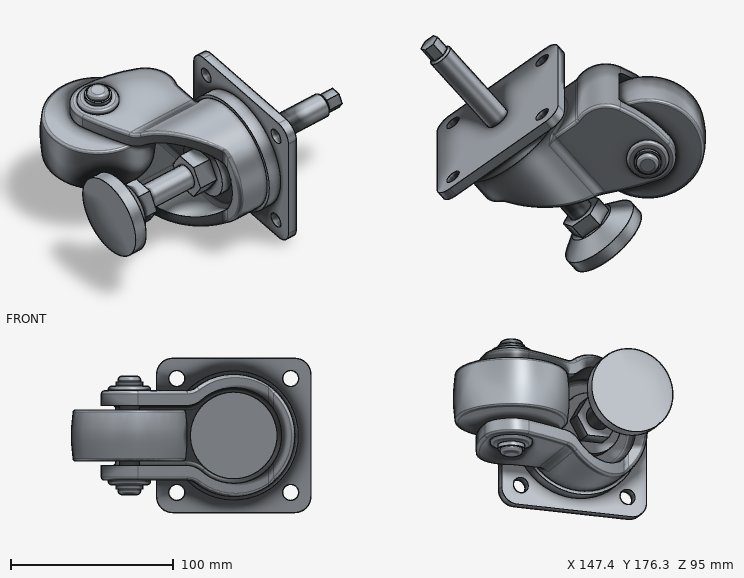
import cadquery as cq
import math


plate_size = 95.0
plate_thickness = 6.2
plate_corner_radius = 10.0
plate_hole_diameter = 9.7
plate_hole_spacing = 70.0

collar_radius = 39.7
collar_bottom = -15.0
bell_radius = 37.5
bell_inner_radius = 29.5
rim_level = -35.8
rim_blend_radius = 5.0

arm_outer_z = 27.5
arm_inner_z = 18.3
arm_blend_x = -29.3
fork_top = -20.0
fork_edge_fillet = 2.0
fork_root_fillet = 2.0
ceiling_level = -29.0
ceiling_fillet = 2.8

boss_radius = 19.4

axle_x = -64.2
axle_y = -67.7

hub_radius = 17.3
front_radius = 88.5
nose_radius = 20.3
nose_top = -18.2
nose_blend_radius = 5.1
belly_radius = 220.4
belly_start_angle = math.radians(18.3)

wheel_radius = 71.4 / 2
wheel_shoulder_radius = 34.4
wheel_half_width = 31.5 / 2
wheel_fillet = 1.8

axle_radius = 6.2
washer_radius = 13.0
washer_top = 30.3
washer_fillet = 2.1
ring_radius = 8.3
ring_top = 33.0
cap_radius = 7.0
cap_top = 36.5
cap_fillet = 2.6

stem_radius = 7.8
stem_shoulder = 57.8
stem_chamfer = 1.4
drive_top = 67.5
drive_across_corners = 13.0

nut_across_corners = 27.9
upper_nut_bottom = -48.5
lower_nut_top = -82.5
foot_cone_top = -92.5
foot_disc_top = -100.7
overall_length = 176.3
foot_bottom = drive_top - overall_length
foot_neck_radius = 15.2
foot_radius = 26.6

clearance = 105.8


def cross_section(level):
    """Workplane square to the swivel axis whose extrusions run toward -Y."""
    return cq.Workplane("XZ", origin=(0, level, 0))


def disc(radius, top, bottom):
    return cross_section(top).circle(radius).extrude(top - bottom)


def hexagon(across_corners, top, bottom):
    return cross_section(top).polygon(6, across_corners).extrude(top - bottom)


def make_plate():
    plate = cross_section(0).rect(plate_size, plate_size).extrude(plate_thickness)
    plate = plate.edges("|Y").fillet(plate_corner_radius)
    holes = (
        cross_section(0)
        .rect(plate_hole_spacing, plate_hole_spacing, forConstruction=True)
        .vertices()
        .circle(plate_hole_diameter / 2)
        .extrude(plate_thickness)
    )
    return plate.cut(holes)


def tail_blend(round_radius, half_width):
    """Radius of the blend circle tangent to the tail side at arm_blend_x and to the disc."""
    return (arm_blend_x**2 + half_width**2 - round_radius**2) / (2 * (round_radius - half_width))


def blend_touch_x(round_radius, half_width):
    """X where the tail blend meets the disc."""
    return arm_blend_x * round_radius / (round_radius + tail_blend(round_radius, half_width))


def keyhole(round_radius, half_width, top):
    """Prism toward -Y: a disc blended into a straight-sided tail toward -X."""
    blend_radius = tail_blend(round_radius, half_width)
    blend_z = half_width + blend_radius
    touch_x = blend_touch_x(round_radius, half_width)
    touch_z = math.sqrt(round_radius**2 - touch_x**2)
    disc_angle = math.atan2(-blend_z, -arm_blend_x)
    middle_angle = (disc_angle - math.pi / 2) / 2
    middle_x = arm_blend_x + blend_radius * math.cos(middle_angle)
    middle_z = blend_z + blend_radius * math.sin(middle_angle)
    return (
        cross_section(top)
        .moveTo(-clearance, half_width)
        .lineTo(arm_blend_x, half_width)
        .threePointArc((middle_x, middle_z), (touch_x, touch_z))
        .threePointArc((round_radius, 0), (touch_x, -touch_z))
        .threePointArc((middle_x, -middle_z), (arm_blend_x, -half_width))
        .lineTo(-clearance, -half_width)
        .close()
        .extrude(clearance)
    )


def on_circle(center, radius, angle):
    return (center[0] + radius * math.cos(angle), center[1] + radius * math.sin(angle))


def make_side_prism():
    """Side outline of the fork, extruded across its whole width."""
    hub = (axle_x, axle_y)

    front = (axle_x - hub_radius + front_radius, axle_y)
    nose_y = nose_top - nose_radius
    nose_x = front[0] - math.sqrt((front_radius - nose_radius) ** 2 - (nose_y - front[1]) ** 2)
    nose = (nose_x, nose_y)
    front_angle = math.atan2(nose_y - front[1], nose_x - front[0])
    nose_end_angle = math.asin((fork_top - nose_y) / nose_radius)
    nose_end = on_circle(nose, nose_radius, nose_end_angle)

    belly_angle = belly_start_angle - math.pi / 2
    belly = on_circle(hub, belly_radius - hub_radius, belly_angle + math.pi)
    belly_end_angle = math.asin((rim_level - belly[1]) / belly_radius)
    belly_end = on_circle(belly, belly_radius, belly_end_angle)

    prism = (
        cq.Workplane("XY", origin=(0, 0, -clearance / 2))
        .moveTo(clearance, fork_top)
        .lineTo(*nose_end)
        .threePointArc(
            on_circle(nose, nose_radius, (nose_end_angle + front_angle) / 2),
            on_circle(nose, nose_radius, front_angle),
        )
        .threePointArc(
            on_circle(front, front_radius, (front_angle + math.pi) / 2),
            on_circle(front, front_radius, math.pi),
        )
        .threePointArc(
            on_circle(hub, hub_radius, (belly_angle - math.pi) / 2),
            on_circle(hub, hub_radius, belly_angle),
        )
        .threePointArc(
            on_circle(belly, belly_radius, (belly_angle + belly_end_angle) / 2),
            belly_end,
        )
        .lineTo(clearance, rim_level)
        .close()
        .extrude(clearance)
    )
    prism = prism.edges(cq.NearestToPointSelector((*nose_end, 0))).fillet(nose_blend_radius)
    return prism.edges(cq.NearestToPointSelector((*belly_end, 0))).fillet(rim_blend_radius)


def make_fork_shell():
    """Solid fork outline: bell and arms with all outer edges rounded."""
    shell = keyhole(bell_radius, arm_outer_z, 0).intersect(make_side_prism())
    shell = shell.edges("not (|Y or |Z)").fillet(fork_edge_fillet)

    bell_joint = fork_top - fork_edge_fillet
    trim_center_x = blend_touch_x(bell_radius, arm_outer_z) + clearance / 2
    trim = cross_section(0).center(trim_center_x, 0).rect(clearance, clearance).extrude(-bell_joint)
    shell = shell.cut(trim).union(disc(bell_radius, collar_bottom, bell_joint))

    root = cq.NearestToPointSelector((-bell_radius, fork_top, 0))
    return shell.edges(root).fillet(fork_root_fillet)


def make_fork():
    cavity = keyhole(bell_inner_radius, arm_inner_z, ceiling_level)
    cavity = cavity.faces(">Y").edges("not <X").fillet(ceiling_fillet)
    collar = disc(collar_radius, -plate_thickness, collar_bottom)
    boss = disc(boss_radius, ceiling_level, rim_level)
    return make_fork_shell().cut(cavity).union(collar).union(boss)


def make_wheel():
    return (
        cq.Workplane("XZ", origin=(axle_x, axle_y, 0))
        .moveTo(0, -wheel_half_width)
        .lineTo(wheel_shoulder_radius, -wheel_half_width)
        .threePointArc((wheel_radius, 0), (wheel_shoulder_radius, wheel_half_width))
        .lineTo(0, wheel_half_width)
        .close()
        .revolve(360, (0, 0, 0), (0, 1, 0))
        .faces(">Z or <Z")
        .edges()
        .fillet(wheel_fillet)
    )


def make_axle():
    axle_plane = cq.Workplane("XY", origin=(axle_x, axle_y, 0))
    stack = axle_plane.circle(washer_radius).extrude(washer_top).faces(">Z").edges().fillet(washer_fillet)
    stack = stack.union(axle_plane.circle(ring_radius).extrude(ring_top))
    stack = stack.union(axle_plane.circle(cap_radius).extrude(cap_top).faces(">Z").edges().fillet(cap_fillet))
    gap = axle_plane.circle(washer_radius).circle(axle_radius).extrude(arm_inner_z)
    upper_half = stack.cut(gap)
    return upper_half.union(upper_half.mirror("XY"))


def make_stem():
    stem = disc(stem_radius, stem_shoulder, foot_cone_top).faces(">Y").edges().chamfer(stem_chamfer)
    drive = hexagon(drive_across_corners, drive_top, stem_shoulder)
    upper_nut = hexagon(nut_across_corners, rim_level, upper_nut_bottom)
    lower_nut = hexagon(nut_across_corners, lower_nut_top, foot_cone_top)
    return stem.union(drive).union(upper_nut).union(lower_nut)


def make_foot():
    return (
        cq.Workplane("XY")
        .moveTo(0, foot_cone_top)
        .lineTo(foot_neck_radius, foot_cone_top)
        .lineTo(foot_radius, foot_disc_top)
        .lineTo(foot_radius, foot_bottom)
        .lineTo(0, foot_bottom)
        .close()
        .revolve(360, (0, 0, 0), (0, 1, 0))
    )


result = make_plate()
for piece in (make_fork(), make_wheel(), make_axle(), make_stem(), make_foot()):
    result = result.union(piece)